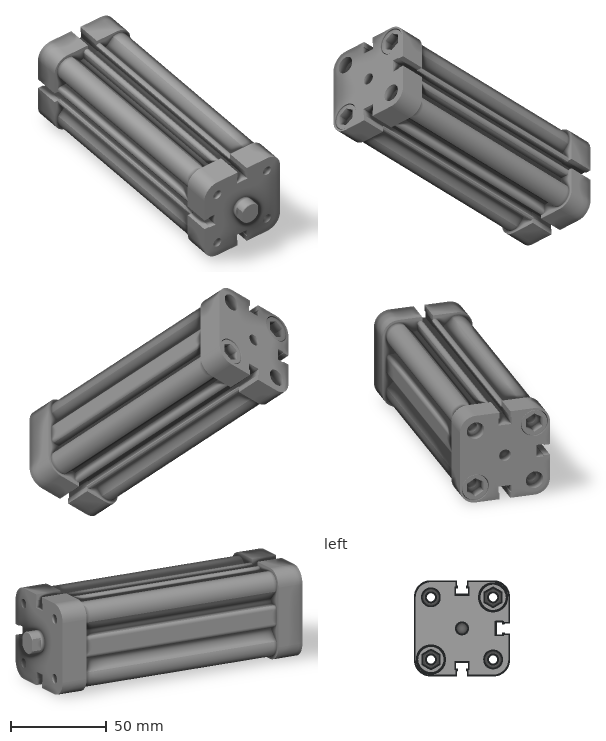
import cadquery as cq
import math


COVER_LENGTH = 14.5
BARREL_LENGTH = 115.5
ROD_PROTRUSION = 7.0
HOUSING_LENGTH = BARREL_LENGTH + 2 * COVER_LENGTH
FRONT_COVER_START = COVER_LENGTH + BARREL_LENGTH

COVER_WIDTH = 49.5
BARREL_WIDTH = 46.0
BOLT_OFFSET = 16.25
COVER_HALF = COVER_WIDTH / 2
COVER_CORNER_RADIUS = COVER_HALF - BOLT_OFFSET
LOBE_RADIUS = BARREL_WIDTH / 2 - BOLT_OFFSET

SLOT_ANGLES = (0, 90, 180)

LOBE_EDGE = 13.6
FLANK_FOOT = 8.4
LIP_OUTER = 5.8
LIP_CROWN = 3.9
FLANK_ANGLE = math.radians(45)
FLOOR_ANGLE = math.radians(18)
VALLEY_RADIUS = 1.25
LIP_TOP_HEIGHT = 22.6
LIP_SHOULDER_HEIGHT = 21.3
LIP_WIDTH = LIP_OUTER - LIP_CROWN
LIP_DROP = LIP_TOP_HEIGHT - LIP_SHOULDER_HEIGHT
LIP_ROUNDING = (LIP_WIDTH**2 + LIP_DROP**2) / (2 * LIP_DROP)

FUNNEL_HALF = 3.4
LIP_GAP_HALF = 2.5
SLOT_HALF = 3.6
FUNNEL_BOTTOM_HEIGHT = 21.95
LIP_UNDERSIDE_HEIGHT = 21.3
SLOT_FLOOR_HEIGHT = 17.8

COVER_SLOT_MOUTH = 5.9
COVER_SLOT_WIDTH = 7.0
COVER_SLOT_STEP_DEPTH = 3.3
COVER_SLOT_DEPTH = 7.3

THROUGH_DIAMETER = 5.2
MOUNT_DIAMETER = 9.5
MOUNT_DEPTH = 5.0
SCREW_RECESS_DIAMETER = 14.9
SCREW_HEAD_DIAMETER = 14.1
SCREW_RECESS_DEPTH = 9.0
SCREW_HEAD_SETBACK = 0.4
SCREW_SHANK_DIAMETER = 10.0
HEX_ACROSS_FLATS = 9.0
HEX_DEPTH = 5.5
CENTRING_DIAMETER = 6.4
CENTRING_DEPTH = 4.5

MOUNT_POINTS = [(BOLT_OFFSET, BOLT_OFFSET), (-BOLT_OFFSET, -BOLT_OFFSET)]
SCREW_POINTS = [(-BOLT_OFFSET, BOLT_OFFSET), (BOLT_OFFSET, -BOLT_OFFSET)]

ROD_DIAMETER = 12.0
ROD_FLAT_WIDTH = 10.0
ROD_COLLAR_LENGTH = 2.0
ROD_COLLAR_CHAMFER = 0.3
ROD_END_CHAMFER = 0.3


def section(x):
    """Cross-section workplane at x: local axes are Y and Z, extrusion runs to +X."""
    return cq.Workplane("YZ", origin=(x, 0, 0))


def cylinder(point, diameter, x, length):
    return section(x).center(*point).circle(diameter / 2).extrude(length)


def turned(shape, angle):
    return shape.rotate((0, 0, 0), (1, 0, 0), angle)


def barrel_outline():
    """Closed barrel section: four sides, each with two valleys, joined by the corner lobes."""
    drop = BOLT_OFFSET - LOBE_EDGE
    lobe_edge_height = BOLT_OFFSET + math.sqrt(LOBE_RADIUS**2 - drop**2)
    foot_height = lobe_edge_height - (LOBE_EDGE - FLANK_FOOT) * math.tan(FLANK_ANGLE)
    arc_y = FLANK_FOOT - VALLEY_RADIUS * math.sin(FLANK_ANGLE)
    arc_z = foot_height + VALLEY_RADIUS * math.cos(FLANK_ANGLE)
    floor_y = arc_y - VALLEY_RADIUS * math.sin(FLOOR_ANGLE)
    floor_z = arc_z - VALLEY_RADIUS * math.cos(FLOOR_ANGLE)
    lip_root_height = floor_z + (floor_y - LIP_OUTER) * math.tan(FLOOR_ANGLE)
    lobe_mid = BOLT_OFFSET + LOBE_RADIUS / math.sqrt(2)

    outline = section(COVER_LENGTH).moveTo(-LOBE_EDGE, lobe_edge_height)
    for quarter_turns in range(4):

        def place(y, z):
            for _ in range(quarter_turns):
                y, z = z, -y
            return y, z

        outline = (
            outline
            .lineTo(*place(-FLANK_FOOT, foot_height))
            .threePointArc(place(-arc_y, arc_z - VALLEY_RADIUS), place(-floor_y, floor_z))
            .lineTo(*place(-LIP_OUTER, lip_root_height))
            .lineTo(*place(-LIP_OUTER, LIP_SHOULDER_HEIGHT))
            .radiusArc(place(-LIP_CROWN, LIP_TOP_HEIGHT), LIP_ROUNDING)
            .lineTo(*place(LIP_CROWN, LIP_TOP_HEIGHT))
            .radiusArc(place(LIP_OUTER, LIP_SHOULDER_HEIGHT), LIP_ROUNDING)
            .lineTo(*place(LIP_OUTER, lip_root_height))
            .lineTo(*place(floor_y, floor_z))
            .threePointArc(place(arc_y, arc_z - VALLEY_RADIUS), place(FLANK_FOOT, foot_height))
            .lineTo(*place(LOBE_EDGE, lobe_edge_height))
            .threePointArc(place(lobe_mid, lobe_mid), place(lobe_edge_height, LOBE_EDGE))
        )
    return outline.close()


def barrel_slot():
    """Cutter for the +Z side: funnel mouth, lip gap and wider slot below."""
    right = [
        (FUNNEL_HALF, LIP_TOP_HEIGHT),
        (LIP_GAP_HALF, FUNNEL_BOTTOM_HEIGHT),
        (LIP_GAP_HALF, LIP_UNDERSIDE_HEIGHT),
        (SLOT_HALF, LIP_UNDERSIDE_HEIGHT),
        (SLOT_HALF, SLOT_FLOOR_HEIGHT),
    ]
    left = [(-y, z) for y, z in reversed(right)]
    return section(COVER_LENGTH).polyline(right + left).close().extrude(BARREL_LENGTH)


def make_barrel():
    barrel = barrel_outline().extrude(BARREL_LENGTH)
    for angle in SLOT_ANGLES:
        barrel = barrel.cut(turned(barrel_slot(), angle))
    return barrel


def make_cover(x):
    cover = section(x).rect(COVER_WIDTH, COVER_WIDTH).extrude(COVER_LENGTH)
    cover = cover.edges("|X").fillet(COVER_CORNER_RADIUS)
    floor = COVER_HALF - COVER_SLOT_DEPTH
    step = COVER_HALF - COVER_SLOT_STEP_DEPTH
    mouth = section(x).center(0, (floor + COVER_HALF) / 2)
    mouth = mouth.rect(COVER_SLOT_MOUTH, COVER_SLOT_DEPTH).extrude(COVER_LENGTH)
    undercut = section(x).center(0, (floor + step) / 2)
    undercut = undercut.rect(COVER_SLOT_WIDTH, step - floor).extrude(COVER_LENGTH)
    for angle in SLOT_ANGLES:
        cover = cover.cut(turned(mouth.union(undercut), angle))
    return cover


def make_housing():
    housing = make_barrel().union(make_cover(0)).union(make_cover(FRONT_COVER_START))
    for point in MOUNT_POINTS + SCREW_POINTS:
        housing = housing.cut(cylinder(point, THROUGH_DIAMETER, 0, HOUSING_LENGTH))
    for point in MOUNT_POINTS:
        housing = housing.cut(cylinder(point, MOUNT_DIAMETER, 0, MOUNT_DEPTH))
    for point in SCREW_POINTS:
        housing = housing.cut(cylinder(point, SCREW_RECESS_DIAMETER, 0, SCREW_RECESS_DEPTH))
        housing = housing.cut(cylinder(point, SCREW_SHANK_DIAMETER, 0, COVER_LENGTH))
    housing = housing.cut(cylinder((0, 0), CENTRING_DIAMETER, 0, CENTRING_DEPTH))
    return housing.cut(cylinder((0, 0), ROD_DIAMETER, FRONT_COVER_START, COVER_LENGTH))


def make_collar_screw(point):
    """Hollow screw: sunk head with a hexagon socket, shank ending with the cover."""
    head_length = SCREW_RECESS_DEPTH - SCREW_HEAD_SETBACK
    shank_length = COVER_LENGTH - SCREW_RECESS_DEPTH
    screw = cylinder(point, SCREW_HEAD_DIAMETER, SCREW_HEAD_SETBACK, head_length)
    screw = screw.union(cylinder(point, SCREW_SHANK_DIAMETER, SCREW_RECESS_DEPTH, shank_length))
    corner_radius = HEX_ACROSS_FLATS / 2 / math.cos(math.pi / 6)
    corners = []
    for corner in range(6):
        angle = math.pi / 6 + corner * math.pi / 3
        corners.append((corner_radius * math.cos(angle), corner_radius * math.sin(angle)))
    socket = section(SCREW_HEAD_SETBACK).center(*point).polyline(corners).close().extrude(HEX_DEPTH)
    return screw.cut(socket).cut(cylinder(point, THROUGH_DIAMETER, 0, COVER_LENGTH))


def make_rod():
    """Round rod with two flats facing -Y and +Y behind a chamfered collar."""
    rod = cylinder((0, 0), ROD_DIAMETER, FRONT_COVER_START, COVER_LENGTH + ROD_PROTRUSION)
    rod = rod.faces(">X").chamfer(ROD_END_CHAMFER)
    collar = cylinder((0, 0), ROD_DIAMETER, HOUSING_LENGTH, ROD_COLLAR_LENGTH)
    collar = collar.faces(">X").chamfer(ROD_COLLAR_CHAMFER)
    flats = section(HOUSING_LENGTH).rect(2 * ROD_DIAMETER, 2 * ROD_DIAMETER)
    flats = flats.rect(ROD_FLAT_WIDTH, 2 * ROD_DIAMETER).extrude(ROD_PROTRUSION)
    return rod.cut(flats.cut(collar))


housing = make_housing()
rod = make_rod()
collar_screws = [make_collar_screw(point) for point in SCREW_POINTS]

result = cq.Compound.makeCompound([housing.val(), rod.val(), *[screw.val() for screw in collar_screws]])